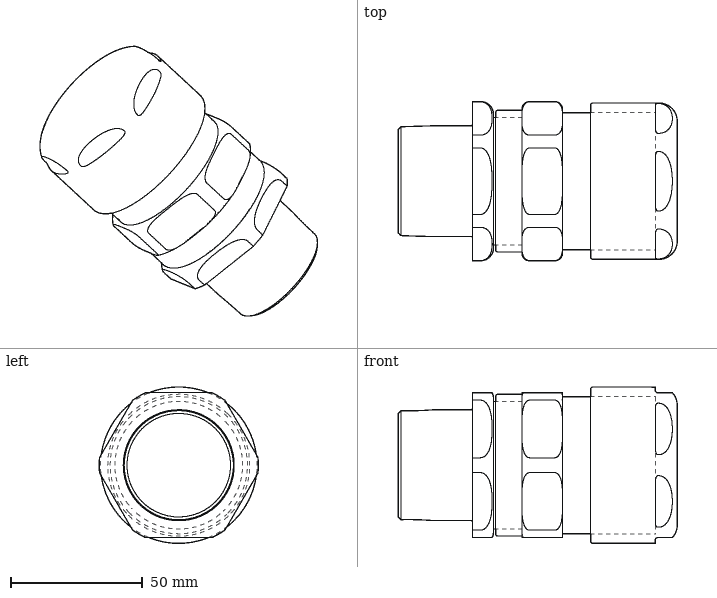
import cadquery as cq
import math


taper_end = 13.6
flange_start = 28.2
flange_end = 36.2
body_start = 37.0
hex_start = 47.0
hex_end = 62.4
cap_start = 73.0
cap_flats_start = 97.6
cap_end = 106.0

across_flats = 55.0
corner_diameter = 60.5
side_count = 6

tip_diameter = 41.4
thread_diameter = 42.2
tip_chamfer = 1.1
thread_root_fillet = 0.4
flange_rounding = 5.0
spigot_diameter = 48.5
spigot_end = hex_start

collar_diameter = 54.0
collar_fillet = 1.0
hex_rounding = 3.0
sleeve_diameter = 52.1
sleeve_end = cap_flats_start

cap_diameter = 59.5
cap_rim_fillet = 1.0
cap_rounding = 7.0
cap_flat_fillet = 1.0


def cylinder(diameter, start, end):
    """Cylinder on the X axis between two stations."""
    return cq.Workplane("YZ", origin=(start, 0, 0)).circle(diameter / 2).extrude(end - start)


def hexagon(start, end):
    """Sharp-cornered hexagonal prism on the X axis."""
    across_corners = across_flats / math.cos(math.pi / side_count)
    return cq.Workplane("YZ", origin=(start, 0, 0)).polygon(side_count, across_corners).extrude(end - start)


def make_threaded_entry():
    """Tapered thread, hexagon flange rounded on its inner end, and a spigot."""
    tip_radius = tip_diameter / 2
    thread_radius = thread_diameter / 2
    thread = (
        cq.Workplane("XY")
        .moveTo(0, 0)
        .lineTo(0, tip_radius - tip_chamfer)
        .lineTo(tip_chamfer, tip_radius)
        .lineTo(taper_end, thread_radius)
        .lineTo(flange_start - thread_root_fillet, thread_radius)
        .radiusArc((flange_start, thread_radius + thread_root_fillet), -thread_root_fillet)
        .lineTo(flange_start, 0)
        .close()
        .revolve(360, (0, 0, 0), (1, 0, 0))
    )
    flange_envelope = cylinder(corner_diameter, flange_start, flange_end).faces(">X").edges().fillet(flange_rounding)
    flange = hexagon(flange_start, flange_end).intersect(flange_envelope)
    spigot = cylinder(spigot_diameter, flange_end, spigot_end)
    return thread.union(flange).union(spigot)


def make_gland_body():
    """Round collar, hexagon rounded on both ends, and a sleeve; bored for the spigot."""
    collar = cylinder(collar_diameter, body_start, hex_start).faces("<X").edges().fillet(collar_fillet)
    hex_envelope = cylinder(corner_diameter, hex_start, hex_end).faces("<X or >X").edges().fillet(hex_rounding)
    hex_section = hexagon(hex_start, hex_end).intersect(hex_envelope)
    sleeve = cylinder(sleeve_diameter, hex_end, sleeve_end)
    socket = cylinder(spigot_diameter, body_start, spigot_end)
    return collar.union(hex_section).union(sleeve).cut(socket)


def make_cap_flat_cutters():
    """Blocks outside each hexagon side, with the inner edge rounded where the flat meets its step."""
    cutter_height = cap_diameter - across_flats
    cutter_length = cap_end - cap_flats_start
    block = (
        cq.Workplane("XY")
        .box(cutter_length, cap_diameter, cutter_height, centered=(False, True, False))
        .translate((cap_flats_start, 0, across_flats / 2))
        .edges("<X and <Z")
        .fillet(cap_flat_fillet)
    )
    side_angle = 360 / side_count
    return [block.rotate((0, 0, 0), (1, 0, 0), side * side_angle) for side in range(side_count)]


def make_cap_nut():
    """Round cap with a domed rim and six spanner flats, bored for the sleeve."""
    cap = cylinder(cap_diameter, cap_start, cap_end)
    cap = cap.faces("<X").edges().fillet(cap_rim_fillet)
    cap = cap.faces(">X").edges().fillet(cap_rounding)
    for cutter in make_cap_flat_cutters():
        cap = cap.cut(cutter)
    return cap.cut(cylinder(sleeve_diameter, cap_start, sleeve_end))


threaded_entry = make_threaded_entry()
gland_body = make_gland_body()
cap_nut = make_cap_nut()

result = cq.Compound.makeCompound([threaded_entry.solids().val(), gland_body.solids().val(), cap_nut.solids().val()])